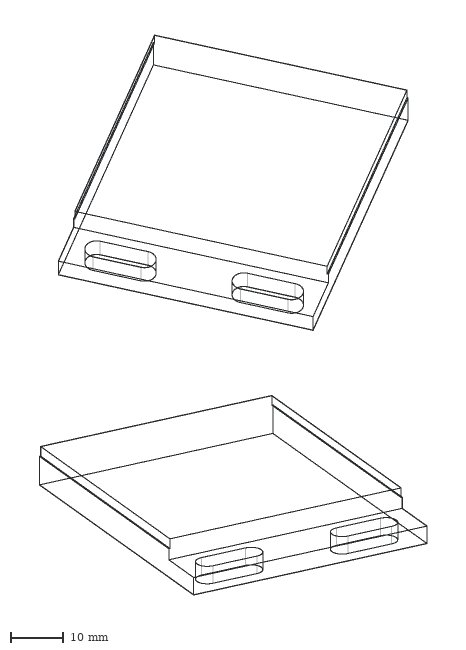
import cadquery as cq

width = 51.3
length = 61.0
height = 8.0

flange_thickness = 3.65
body_height = 6.0
flange_depth = 9.8

cap_side_inset = 0.25

slot_length = 14.15
slot_width = 4.5
slot_spacing = 29.65
slot_from_front = 5.4


def block(block_width, front, bottom, top):
    """Box centred on X that runs from the given front face to the back edge."""
    return (
        cq.Workplane("XY")
        .workplane(offset=bottom)
        .center(0, (front + length) / 2)
        .rect(block_width, length - front)
        .extrude(top - bottom)
    )


base = block(width, 0, 0, flange_thickness)
body = block(width, flange_depth, flange_thickness, body_height)
cap = block(width - 2 * cap_side_inset, flange_depth, body_height, height)

slots = (
    cq.Workplane("XY")
    .pushPoints([(side * slot_spacing / 2, slot_from_front) for side in (-1, 1)])
    .slot2D(slot_length, slot_width)
    .extrude(flange_thickness)
)

result = base.union(body).union(cap).cut(slots)